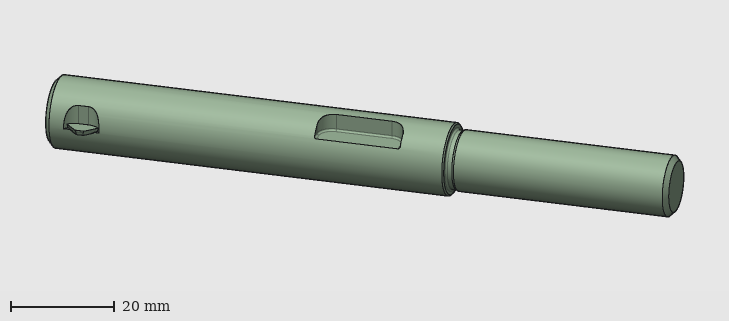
import cadquery as cq
import math

overall_length = 125.0
body_length = 80.3
body_radius = 14.3 / 2
front_chamfer = 1.0
rear_chamfer = 0.3

shank_radius = 12.0 / 2
groove_radius = 11.6 / 2
groove_flat = 1.3
groove_ramp = 0.4
groove_fillet = 0.4
shank_chamfer = 1.0

cutter_radius = 3.0
cut_clearance = 2.0

blade_pocket_x = 7.5
blade_pocket_back_flat = 2.0
blade_pocket_width = blade_pocket_back_flat + 2 * cutter_radius
blade_pocket_back_y = -5.7
blade_pocket_floor_z = -0.3

blade_x = 7.65
blade_thickness = 1.0
blade_tip_y = -8.89
blade_tip_width = 1.8
blade_root_y = -5.0
blade_relief_angle = 17.0
blade_tip_land = 0.3

long_pocket_x = 62.65
long_pocket_width = 17.2
long_pocket_back_y = -1.3
long_pocket_floor_z = 3.6
long_pocket_floor_fillet = 0.4


def turned_bar():
    """Body, groove and shank revolved about the X axis."""
    groove_end = body_length + groove_flat
    profile = (
        cq.Workplane("XY")
        .moveTo(0, 0)
        .lineTo(0, body_radius - front_chamfer)
        .lineTo(front_chamfer, body_radius)
        .lineTo(body_length - rear_chamfer, body_radius)
        .lineTo(body_length, body_radius - rear_chamfer)
        .lineTo(body_length, groove_radius + groove_fillet)
        .radiusArc((body_length + groove_fillet, groove_radius), -groove_fillet)
        .lineTo(groove_end, groove_radius)
        .lineTo(groove_end + groove_ramp, shank_radius)
        .lineTo(overall_length - shank_chamfer, shank_radius)
        .lineTo(overall_length, shank_radius - shank_chamfer)
        .lineTo(overall_length, 0)
        .close()
    )
    return profile.revolve(360, (0, 0, 0), (1, 0, 0))


def pocket_cutter(center_x, width, back_y, floor_z):
    """Upright block, open to -Y and +Z, with rounded corners at its back wall."""
    depth = back_y + body_radius + cut_clearance
    height = body_radius + cut_clearance - floor_z
    return (
        cq.Workplane("XY", origin=(center_x, back_y - depth / 2, floor_z))
        .rect(width, depth)
        .extrude(height)
        .edges("|Z and >Y")
        .fillet(cutter_radius)
    )


def blade():
    """Pointed blade, widest at its flat top face, with a short upright land at the tip."""
    relief_slope = math.tan(math.radians(blade_relief_angle))
    land_overshoot = blade_tip_land * relief_slope
    sharp_tip_y = blade_tip_y - land_overshoot
    tip_half = blade_tip_width / 2 - land_overshoot
    root_half = tip_half + (blade_root_y - sharp_tip_y)
    top_z = blade_thickness / 2
    relieved = (
        cq.Workplane("XY", origin=(blade_x, 0, top_z))
        .moveTo(-tip_half, sharp_tip_y)
        .lineTo(tip_half, sharp_tip_y)
        .lineTo(root_half, blade_root_y)
        .lineTo(-root_half, blade_root_y)
        .close()
        .extrude(-blade_thickness, taper=blade_relief_angle)
    )
    envelope = cq.Workplane("XY", origin=(blade_x, blade_tip_y / 2, top_z)).box(
        2 * root_half, -blade_tip_y, 2 * blade_thickness
    )
    return relieved.intersect(envelope)


def blade_pocket():
    """Short pocket above the blade, with a sharp floor."""
    return pocket_cutter(blade_pocket_x, blade_pocket_width, blade_pocket_back_y, blade_pocket_floor_z)


def long_pocket():
    """Long pocket whose walls run into the floor through a small fillet."""
    pocket = pocket_cutter(long_pocket_x, long_pocket_width, long_pocket_back_y, long_pocket_floor_z)
    return pocket.edges("<Z and (not <Y)").fillet(long_pocket_floor_fillet)


result = turned_bar().cut(blade_pocket()).cut(long_pocket()).union(blade())